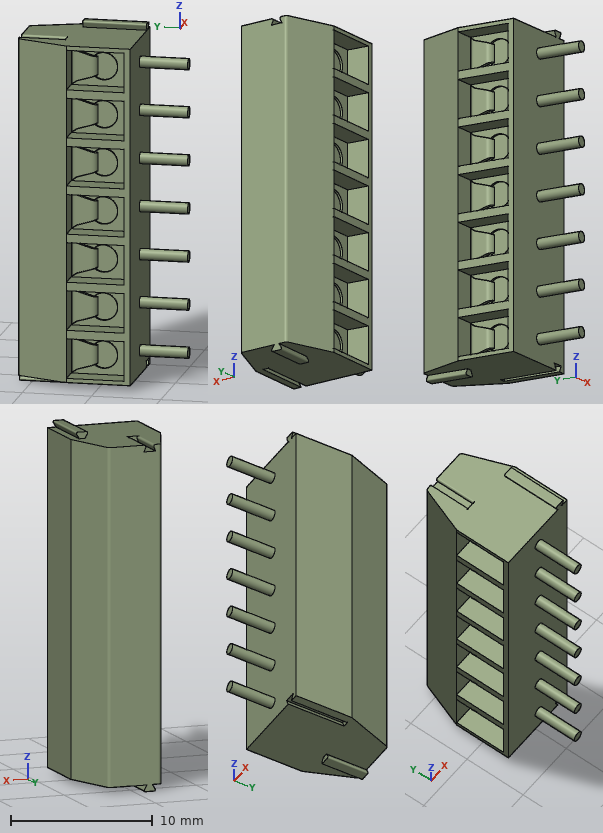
import cadquery as cq

pole_count = 7
body_width = 6.8
body_depth = 8.4
body_length = 24.5
pitch = body_length / pole_count

shoulder_y = 4.6
crown_inset = 1.43
crown_edge_radius = 0.25

pin_diameter = 0.81
pin_length = 3.5
pin_offset_x = 0.1
pin_embed = 0.5

pocket_height = 2.88
pocket_start_y = 0.45
pocket_depth = 1.65
pocket_wall_run = 0.18

tongue_depth = 1.37
tongue_bend_radius = 0.45
tongue_tip_drop = 1.9
tongue_root_half = 1.43
tongue_flat_half = 1.1
tongue_tip_half = 0.65

hole_radius = 1.0
hole_drop = 2.35
hole_depth = tongue_depth + tongue_bend_radius - pocket_depth

overall_length = 25.45
joint_height = (overall_length - body_length) / 2
joint_neck_width = 0.43
rib_head_width = 1.0
slot_head_width = 0.9
rib_edge_radius = 0.1
slot_lip_radius = 0.14
crown_joint_x = -1.12
crown_joint_length = 3.3
crown_joint_y = body_depth - crown_joint_length
base_joint_x = 2.55

side_x = -body_width / 2
half_length = body_length / 2
pole_heights = [(i - (pole_count - 1) / 2) * pitch for i in range(pole_count)]


def make_body():
    half_width = body_width / 2
    crown_half = half_width - crown_inset
    outline = [
        (-half_width, 0),
        (half_width, 0),
        (half_width, shoulder_y),
        (crown_half, body_depth),
        (-crown_half, body_depth),
        (-half_width, shoulder_y),
    ]
    body = cq.Workplane("XY", origin=(0, 0, -half_length)).polyline(outline).close().extrude(body_length)
    return body.faces(">Y").edges("|Z").fillet(crown_edge_radius)


def make_pin(z):
    start = cq.Workplane("XZ", origin=(pin_offset_x, pin_embed, z))
    return start.circle(pin_diameter / 2).extrude(pin_length + pin_embed)


def make_pocket(z):
    """Wire-entry pocket whose -Y wall leans inwards, with the clamp hole in its back."""
    back_x = side_x + pocket_depth
    profile = [
        (side_x, pocket_start_y),
        (side_x, shoulder_y),
        (back_x, shoulder_y),
        (back_x, pocket_start_y + pocket_wall_run),
    ]
    bottom = cq.Workplane("XY", origin=(0, 0, z - pocket_height / 2))
    pocket = bottom.polyline(profile).close().extrude(pocket_height)
    hole_plane = cq.Workplane("YZ", origin=(back_x, shoulder_y - hole_drop, z))
    return pocket.union(hole_plane.circle(hole_radius).extrude(hole_depth))


def make_tongue(z):
    """Guide tongue: a tapered outline shared with a bar that is rounded at its root and tip."""
    front_x = side_x + tongue_depth
    tip_y = shoulder_y - tongue_tip_drop
    flat_start_y = shoulder_y - tongue_bend_radius
    outline = [
        (shoulder_y, tongue_root_half),
        (flat_start_y, tongue_flat_half),
        (tip_y, tongue_tip_half),
        (tip_y, -tongue_tip_half),
        (flat_start_y, -tongue_flat_half),
        (shoulder_y, -tongue_root_half),
    ]
    thickness = pocket_depth + hole_depth - tongue_depth
    plate = cq.Workplane("YZ", origin=(front_x, 0, z)).polyline(outline).close().extrude(thickness)
    profile = (
        cq.Workplane("XY", origin=(0, 0, z - pocket_height / 2))
        .moveTo(front_x + thickness, shoulder_y)
        .radiusArc((front_x, flat_start_y), -tongue_bend_radius)
        .lineTo(front_x, tip_y + tongue_bend_radius)
        .radiusArc((front_x + thickness, tip_y), -tongue_bend_radius)
        .close()
        .extrude(pocket_height)
    )
    return plate.intersect(profile)


def make_dovetail(x, y_start, length, z, direction, head_width):
    """Dovetail bar with its neck at height z, widening along Z in the given direction."""
    neck_half = joint_neck_width / 2
    head_half = head_width / 2
    head_z = direction * joint_height
    outline = [(-neck_half, 0), (neck_half, 0), (head_half, head_z), (-head_half, head_z)]
    end_plane = cq.Workplane("XZ", origin=(x, y_start + length, z))
    return end_plane.polyline(outline).close().extrude(length)


def cut_crown_slot(body):
    """Cut the slot in the top end and round its two lips."""
    slot = make_dovetail(crown_joint_x, crown_joint_y, crown_joint_length, half_length, -1, slot_head_width)
    lips = cq.selectors.BoxSelector(
        (crown_joint_x - joint_neck_width, crown_joint_y, half_length - slot_lip_radius),
        (crown_joint_x + joint_neck_width, body_depth, half_length + slot_lip_radius),
    )
    return body.cut(slot).edges(lips).edges("|Y").fillet(slot_lip_radius)


def make_rib(x, y_start, length, direction):
    """Dovetail rib on the end given by the direction, with its outer edges rounded."""
    rib = make_dovetail(x, y_start, length, direction * half_length, direction, rib_head_width)
    outer_face = ">Z" if direction > 0 else "<Z"
    return rib.faces(outer_face).edges("|Y").fillet(rib_edge_radius)


result = cut_crown_slot(make_body())
result = result.cut(make_dovetail(base_joint_x, 0, shoulder_y, -half_length, 1, slot_head_width))
result = result.union(make_rib(base_joint_x, 0, shoulder_y, 1))
result = result.union(make_rib(crown_joint_x, crown_joint_y, crown_joint_length, -1))

for pole_z in pole_heights:
    result = result.cut(make_pocket(pole_z))
    result = result.union(make_tongue(pole_z))
    result = result.union(make_pin(pole_z))